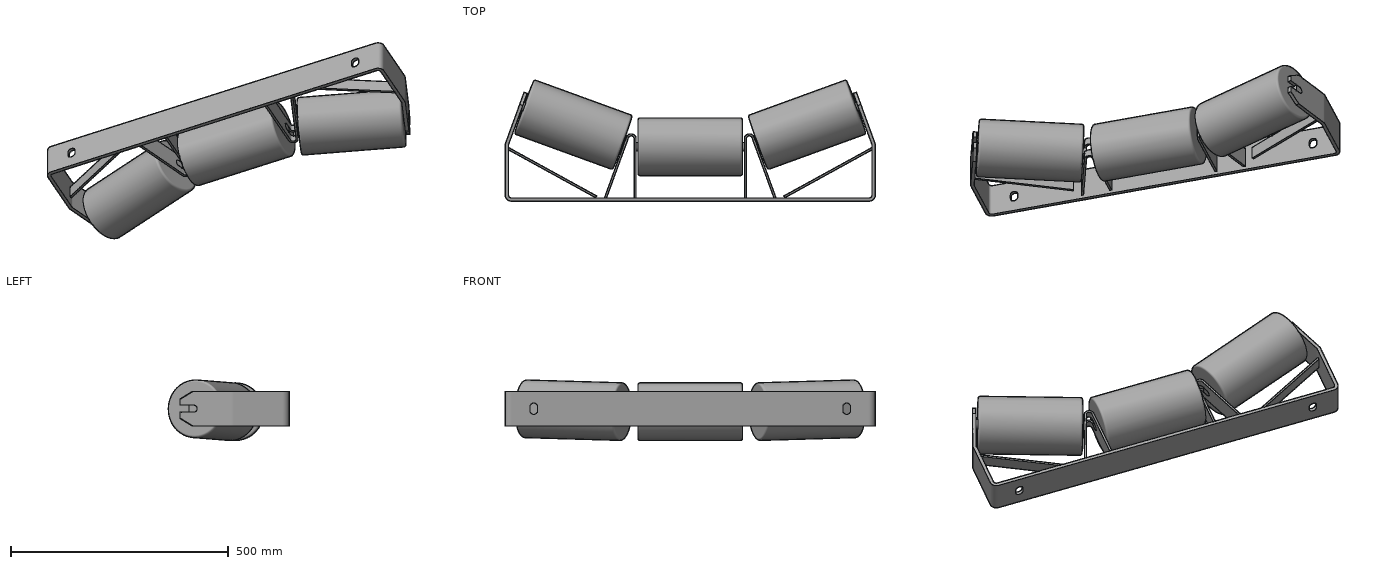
import cadquery as cq
import math

FRAME_WIDTH = 850.0
FRAME_HEIGHT = 80.0
FRAME_THICKNESS = 8.0
FRAME_BEND_RADIUS = 15.0
UPRIGHT_TOP_Y = 128.0
ARM_LENGTH = 125.0
ARM_TIP_CUT_LENGTH = 30.0
ARM_TIP_CUT_DEPTH = 17.3
MOUNT_HOLE_WIDTH = 18.0
MOUNT_HOLE_LENGTH = 26.0
MOUNT_HOLE_X = 359.0

LEAN_ANGLE = 20.0
DROP_ANGLE = 1.57
DRUM_RADIUS = 66.5
DRUM_LENGTH = 240.0
DRUM_RIM_RADIUS = 5.0
SHAFT_WIDTH = 16.0
SHAFT_DEPTH = 20.0
MIDDLE_ROLLER_Y = 125.0
DRUM_CLEARANCE = 4.0
SHAFT_PLACE_ON_ARM = 93.43

BRACKET_THICKNESS = 5.0
BRACKET_BEND_RADIUS = 11.5
BRACKET_BEND_Y = 143.5
BRACKET_HEIGHT = 50.0

BRACE_THICKNESS = 5.0
BRACE_HEIGHT = 30.0
BRACE_ANGLE = 28.8
BRACE_WALL_Y = 118.0

SIN_LEAN = math.sin(math.radians(LEAN_ANGLE))
COS_LEAN = math.cos(math.radians(LEAN_ANGLE))
HALF_WIDTH = FRAME_WIDTH / 2
HALF_DRUM = DRUM_LENGTH / 2
BRACKET_FACE = HALF_DRUM + DRUM_CLEARANCE
BRACKET_BEND_X = BRACKET_FACE + BRACKET_BEND_RADIUS

ARM_START_X = HALF_WIDTH - FRAME_BEND_RADIUS * (1 - COS_LEAN)
ARM_START_Y = UPRIGHT_TOP_Y + FRAME_BEND_RADIUS * SIN_LEAN

ARM_OUTER_FACE = HALF_DRUM + DRUM_CLEARANCE + FRAME_THICKNESS
SIDE_ROLLER_X = ARM_START_X - SHAFT_PLACE_ON_ARM * SIN_LEAN - ARM_OUTER_FACE * COS_LEAN
SIDE_ROLLER_Y = ARM_START_Y + SHAFT_PLACE_ON_ARM * COS_LEAN - ARM_OUTER_FACE * SIN_LEAN
SIDE_ROLLER_Z = -BRACKET_FACE * math.sin(math.radians(DROP_ANGLE))
MIDDLE_ROLLER_Z = 2 * SIDE_ROLLER_Z

BEND_DISTANCE = (SIDE_ROLLER_X - BRACKET_BEND_X) * COS_LEAN + (SIDE_ROLLER_Y - BRACKET_BEND_Y) * SIN_LEAN
SIDE_SHAFT_INNER = BEND_DISTANCE - BRACKET_BEND_RADIUS + BRACKET_THICKNESS
MIDDLE_SHAFT_END = BRACKET_FACE + BRACKET_THICKNESS


def mirrored(body):
    return body.mirror("YZ")


def place_side(body):
    """Move a body built along X about the origin to the right-hand roller place."""
    dropped = body.rotate((0, 0, 0), (0, 1, 0), -DROP_ANGLE)
    leaned = dropped.rotate((0, 0, 0), (0, 0, 1), LEAN_ANGLE)
    return leaned.translate((SIDE_ROLLER_X, SIDE_ROLLER_Y, SIDE_ROLLER_Z))


def place_middle(body):
    return body.translate((0, MIDDLE_ROLLER_Y, MIDDLE_ROLLER_Z))


def shaft(start, end):
    """Shaft along X: flat sides and top, half-round underside."""
    half_width = SHAFT_WIDTH / 2
    half_depth = SHAFT_DEPTH / 2
    round_start = half_width - half_depth
    return (
        cq.Workplane("YZ").workplane(offset=start)
        .moveTo(half_depth, -half_width)
        .lineTo(half_depth, half_width)
        .lineTo(round_start, half_width)
        .threePointArc((-half_depth, 0), (round_start, -half_width))
        .close()
        .extrude(end - start)
    )


def shaft_slot(start, end):
    """Cutter that fits the shaft and opens towards +Y past any wall it crosses."""
    opening = (
        cq.Workplane("YZ").workplane(offset=start)
        .center(ARM_LENGTH / 2, 0)
        .rect(ARM_LENGTH, SHAFT_WIDTH)
        .extrude(end - start)
    )
    return shaft(start, end).union(opening)


def roller(shaft_start, shaft_end):
    drum = cq.Workplane("YZ").workplane(offset=-HALF_DRUM).circle(DRUM_RADIUS).extrude(DRUM_LENGTH)
    drum = drum.edges("%CIRCLE").fillet(DRUM_RIM_RADIUS)
    return drum.union(shaft(shaft_start, shaft_end))


def make_half_frame():
    """Right-hand half of the frame: base strip, upright and leaning arm with their bends."""
    bend = FRAME_BEND_RADIUS
    inner_bend = bend - FRAME_THICKNESS
    centre_x = HALF_WIDTH - bend
    lean = math.radians(LEAN_ANGLE)

    def around(centre_y, radius, angle):
        return (centre_x + radius * math.cos(angle), centre_y + radius * math.sin(angle))

    tip_outer = (ARM_START_X - ARM_LENGTH * SIN_LEAN, ARM_START_Y + ARM_LENGTH * COS_LEAN)
    tip_inner = (tip_outer[0] - FRAME_THICKNESS * COS_LEAN, tip_outer[1] - FRAME_THICKNESS * SIN_LEAN)
    outline = (
        cq.Workplane("XY").workplane(offset=-FRAME_HEIGHT / 2)
        .moveTo(0, 0)
        .lineTo(centre_x, 0)
        .threePointArc(around(bend, bend, -math.pi / 4), (HALF_WIDTH, bend))
        .lineTo(HALF_WIDTH, UPRIGHT_TOP_Y)
        .threePointArc(around(UPRIGHT_TOP_Y, bend, lean / 2), (ARM_START_X, ARM_START_Y))
        .lineTo(*tip_outer)
        .lineTo(*tip_inner)
        .lineTo(*around(UPRIGHT_TOP_Y, inner_bend, lean))
        .threePointArc(
            around(UPRIGHT_TOP_Y, inner_bend, lean / 2),
            (HALF_WIDTH - FRAME_THICKNESS, UPRIGHT_TOP_Y),
        )
        .lineTo(HALF_WIDTH - FRAME_THICKNESS, bend)
        .threePointArc(around(bend, inner_bend, -math.pi / 4), (centre_x, FRAME_THICKNESS))
        .lineTo(0, FRAME_THICKNESS)
        .close()
        .extrude(FRAME_HEIGHT)
    )
    return outline.cut(tip_corners())


def tip_corners():
    """Cutters for the two sloped corners at the tip of the right-hand arm."""
    half = FRAME_HEIGHT / 2
    arm_plane = cq.Plane(
        origin=(ARM_START_X, ARM_START_Y, 0),
        xDir=(-SIN_LEAN, COS_LEAN, 0),
        normal=(COS_LEAN, SIN_LEAN, 0),
    )
    corners = cq.Workplane(arm_plane)
    for side in (1, -1):
        corners = (
            corners.moveTo(ARM_LENGTH, side * half)
            .lineTo(ARM_LENGTH - ARM_TIP_CUT_LENGTH, side * half)
            .lineTo(ARM_LENGTH, side * (half - ARM_TIP_CUT_DEPTH))
            .close()
        )
    return corners.extrude(FRAME_THICKNESS, both=True)


def make_frame():
    half = make_half_frame().cut(place_side(shaft_slot(HALF_DRUM, 2 * HALF_DRUM)))
    mount_holes = (
        cq.Workplane("XZ")
        .pushPoints([(-MOUNT_HOLE_X, 0), (MOUNT_HOLE_X, 0)])
        .slot2D(MOUNT_HOLE_LENGTH, MOUNT_HOLE_WIDTH, 90)
        .extrude(-FRAME_THICKNESS)
    )
    return half.union(mirrored(half)).cut(mount_holes)


def make_bracket():
    """Right-hand bracket: upright leg beside the middle drum, bend, leg along the side drum."""
    outer = BRACKET_BEND_RADIUS
    inner = outer - BRACKET_THICKNESS
    arc_middle = math.radians(90 + LEAN_ANGLE / 2)

    def around(radius, angle):
        return (BRACKET_BEND_X + radius * math.cos(angle), BRACKET_BEND_Y + radius * math.sin(angle))

    def leg_foot(radius):
        """Foot of the leaning leg's face on the base strip."""
        rise = BRACKET_BEND_Y - FRAME_THICKNESS
        return (BRACKET_BEND_X + (radius + rise * SIN_LEAN) / COS_LEAN, FRAME_THICKNESS)

    lean = math.radians(LEAN_ANGLE)
    bracket = (
        cq.Workplane("XY").workplane(offset=MIDDLE_ROLLER_Z - BRACKET_HEIGHT / 2)
        .moveTo(BRACKET_FACE, FRAME_THICKNESS)
        .lineTo(BRACKET_FACE, BRACKET_BEND_Y)
        .threePointArc(around(outer, arc_middle), around(outer, lean))
        .lineTo(*leg_foot(outer))
        .lineTo(*leg_foot(inner))
        .lineTo(*around(inner, lean))
        .threePointArc(around(inner, arc_middle), (BRACKET_BEND_X - inner, BRACKET_BEND_Y))
        .lineTo(BRACKET_BEND_X - inner, FRAME_THICKNESS)
        .close()
        .extrude(BRACKET_HEIGHT)
    )
    bracket = bracket.cut(place_middle(shaft_slot(HALF_DRUM, BRACKET_BEND_X)))
    return bracket.cut(place_side(shaft_slot(-BEND_DISTANCE, -HALF_DRUM)))


def make_brace():
    """Right-hand brace: its lower edge starts on the upright and ends square on the base strip."""
    slope = math.radians(BRACE_ANGLE)
    wall_x = HALF_WIDTH - FRAME_THICKNESS
    run = (BRACE_WALL_Y - FRAME_THICKNESS) / math.tan(slope)
    foot = (wall_x - run, FRAME_THICKNESS)
    foot_top = (foot[0] - BRACE_THICKNESS * math.sin(slope), foot[1] + BRACE_THICKNESS * math.cos(slope))
    return (
        cq.Workplane("XY").workplane(offset=-BRACE_HEIGHT / 2)
        .moveTo(wall_x, BRACE_WALL_Y)
        .lineTo(*foot)
        .lineTo(*foot_top)
        .lineTo(wall_x, BRACE_WALL_Y + BRACE_THICKNESS / math.cos(slope))
        .close()
        .extrude(BRACE_HEIGHT)
    )


frame = make_frame()
middle_roller = place_middle(roller(-MIDDLE_SHAFT_END, MIDDLE_SHAFT_END))
side_roller = place_side(roller(-SIDE_SHAFT_INNER, ARM_OUTER_FACE))
bracket = make_bracket()
brace = make_brace()

bodies = [*frame.solids().vals(), *middle_roller.solids().vals()]
for right_body in (side_roller, bracket, brace):
    bodies.extend(right_body.solids().vals())
    bodies.extend(mirrored(right_body).solids().vals())

result = cq.Compound.makeCompound(bodies)